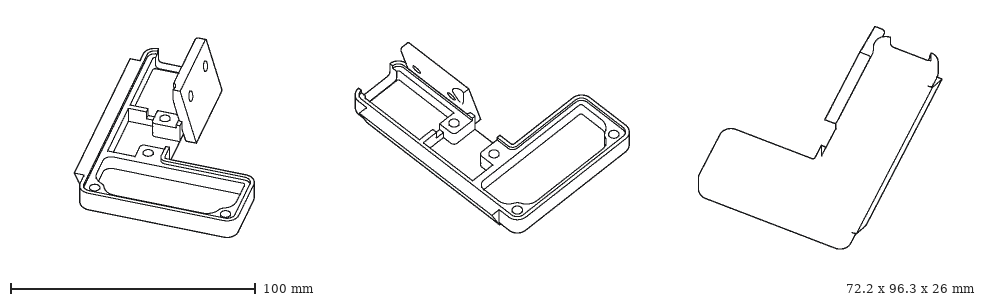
import cadquery as cq
import math

OVERALL_WIDTH = 72.2
RAIL_OVERHANG = 4.2
BODY_WIDTH = OVERALL_WIDTH - RAIL_OVERHANG
BODY_LENGTH = 96.3
BODY_HEIGHT = 10.0
LONG_ARM_WIDTH = 28.0
SHORT_ARM_LENGTH = 30.5
OUTER_RADIUS = 5.0
INNER_RADIUS = 1.0
BOTTOM_FILLET = 2.0

LIP_WIDTH = 1.6
LIP_HEIGHT = 1.5
LEDGE_Z = BODY_HEIGHT - LIP_HEIGHT

WALL = 4.0
UPPER_FLOOR_Z = 2.5
MIDDLE_FLOOR_Z = 1.5
LOWER_FLOOR_Z = 2.3
SMALL_RADIUS = 1.0
BOSS_RADIUS = 1.7
UPPER_POCKET_START = 60.4
RIB_WIDTH = 2.2
RIB_NOTCH_START = 11.75
RIB_NOTCH_FLOOR_Z = 4.8
MIDDLE_POCKET_START = 29.8
BOSS_LEFT = 15.8
OPENING_START = 37.8
OPENING_END = 52.1
LOWER_POCKET_START = 3.8
LOWER_POCKET_END = 26.8
LOWER_POCKET_LEFT_RADIUS = 3.5
LOWER_POCKET_RIGHT_RADIUS = 1.0

SCREW_DIAMETER = 4.2
SCREW_DEPTH = 6.7
SCREW_INSET = 6.0
BOSS_SCREW_X = 20.2
BOSS_SCREW_YS = (33.5, 56.5)
CORNER_SCREW_XS = (SCREW_INSET, BODY_WIDTH - SCREW_INSET)
CORNER_BOSS_RADIUS = 3.9
CORNER_BOSS_BLEND = 6.0

END_SLOT_WIDTH = 18.1
END_SLOT_FLOOR_Z = 2.9
END_SLOT_FILLET = 1.6

RAIL_FOOT_X = 0.2
RAIL_START = 10.5
RAIL_END = 86.8

PLATE_LEAN = math.radians(15)
PLATE_THICKNESS = 4.8
PLATE_FOOT_X = 34.2
PLATE_LEVEL_THICKNESS = PLATE_THICKNESS / math.cos(PLATE_LEAN)
PLATE_TOP_Z = 26.0
PLATE_START = 54.9
PLATE_END = 90.1
PLATE_TOP_FILLET = 1.5
PLATE_SIDE_FILLET = 1.0
PLATE_HOLE_DIAMETER = 4.2
PLATE_HOLE_SPACING = 20.0
PLATE_HOLE_Z = 17.2
SCREW_ACCESS_RADIUS = 4.2


def block(x_range, y_range, z_range):
    """Box spanning the given ranges."""
    sizes = [end - start for start, end in (x_range, y_range, z_range)]
    corner = (x_range[0], y_range[0], z_range[0])
    return cq.Workplane("XY").box(*sizes, centered=False).translate(corner)


def rod(x, y, radius, bottom, top):
    """Upright cylinder."""
    return cq.Workplane("XY", origin=(x, y, bottom)).circle(radius).extrude(top - bottom)


def l_prism(inset, bottom, top):
    """L-shaped prism with its side faces moved inward by the inset."""
    arm_right = LONG_ARM_WIDTH - inset
    arm_back = SHORT_ARM_LENGTH - inset
    z_range = (bottom, top)
    long_arm = block((inset, arm_right), (inset, BODY_LENGTH - inset), z_range)
    short_arm = block((inset, BODY_WIDTH - inset), (inset, arm_back), z_range)
    outer_radius = OUTER_RADIUS - inset
    prism = long_arm.edges("|Z").fillet(outer_radius).union(short_arm.edges("|Z").fillet(outer_radius))
    inner_corner = cq.selectors.NearestToPointSelector((arm_right, arm_back, (bottom + top) / 2))
    return prism.edges(inner_corner).fillet(INNER_RADIUS + inset)


def upright_edges_near(solid, x, y, reach):
    """Vertical edges within a square reach of a point."""
    corner = cq.selectors.BoxSelector(
        (x - reach, y - reach, 0), (x + reach, y + reach, BODY_HEIGHT)
    )
    return solid.edges("|Z").edges(corner)


def tray():
    """L-shaped block with a rounded underside and a recess for a lid."""
    blank = l_prism(0, 0, BODY_HEIGHT).faces("<Z").edges().fillet(BOTTOM_FILLET)
    return blank.cut(l_prism(LIP_WIDTH, LEDGE_Z, BODY_HEIGHT))


def rail():
    """Wedge rail that narrows toward the floor."""
    root_x = OUTER_RADIUS
    profile = [
        (-RAIL_OVERHANG, BODY_HEIGHT),
        (LIP_WIDTH, BODY_HEIGHT),
        (LIP_WIDTH, LEDGE_Z),
        (root_x, LEDGE_Z),
        (root_x, 0),
        (RAIL_FOOT_X, 0),
    ]
    return (
        cq.Workplane("XZ", origin=(0, RAIL_START, 0))
        .polyline(profile)
        .close()
        .extrude(RAIL_START - RAIL_END)
    )


def upper_pocket():
    """Pocket at the far end of the long arm."""
    return (
        block(
            (WALL, LONG_ARM_WIDTH - WALL),
            (UPPER_POCKET_START, BODY_LENGTH - WALL),
            (UPPER_FLOOR_Z, BODY_HEIGHT),
        )
        .edges("|Z and >Y")
        .fillet(SMALL_RADIUS)
    )


def end_slot():
    """Slot through the far end wall, rounded along its floor."""
    center = LONG_ARM_WIDTH / 2
    return (
        block(
            (center - END_SLOT_WIDTH / 2, center + END_SLOT_WIDTH / 2),
            (BODY_LENGTH - WALL, BODY_LENGTH),
            (END_SLOT_FLOOR_Z, BODY_HEIGHT),
        )
        .edges("|Y and <Z")
        .fillet(END_SLOT_FILLET)
    )


def middle_pocket():
    """Pocket between the two bosses, open on the inner side, with the rib notch."""
    z_range = (MIDDLE_FLOOR_Z, BODY_HEIGHT)
    rib_start = UPPER_POCKET_START - RIB_WIDTH
    bay = block((WALL, BOSS_LEFT), (MIDDLE_POCKET_START, rib_start), z_range)
    opening = block((WALL, LONG_ARM_WIDTH), (OPENING_START, OPENING_END), z_range)
    pocket = bay.union(opening)
    for boss_y in (OPENING_START, OPENING_END):
        pocket = upright_edges_near(pocket, BOSS_LEFT, boss_y, BOSS_RADIUS).fillet(BOSS_RADIUS)
    notch = block(
        (RIB_NOTCH_START, BOSS_LEFT),
        (rib_start, UPPER_POCKET_START),
        (RIB_NOTCH_FLOOR_Z, BODY_HEIGHT),
    )
    return pocket.union(notch)


def lower_pocket():
    """Pocket in the short arm that curves around the corner screw bosses."""
    right = BODY_WIDTH - WALL
    y_range = (LOWER_POCKET_START, LOWER_POCKET_END)
    pocket = block((WALL, right), y_range, (LOWER_FLOOR_Z, BODY_HEIGHT))
    pocket = pocket.edges("|Z and >Y and <X").fillet(LOWER_POCKET_LEFT_RADIUS)
    pocket = pocket.edges("|Z and >Y").edges(">X").fillet(LOWER_POCKET_RIGHT_RADIUS)
    for x in CORNER_SCREW_XS:
        pocket = pocket.cut(rod(x, SCREW_INSET, CORNER_BOSS_RADIUS, 0, BODY_HEIGHT))
    for x in CORNER_SCREW_XS:
        boss_edges = upright_edges_near(pocket, x, SCREW_INSET, CORNER_BOSS_RADIUS)
        pocket = boss_edges.fillet(CORNER_BOSS_BLEND)
    return pocket


def screw_holes():
    """Blind holes in the corner bosses and the two inner bosses."""
    places = [(x, SCREW_INSET) for x in CORNER_SCREW_XS]
    places += [(BOSS_SCREW_X, y) for y in BOSS_SCREW_YS]
    return (
        cq.Workplane("XY", origin=(0, 0, LEDGE_Z - SCREW_DEPTH))
        .pushPoints(places)
        .circle(SCREW_DIAMETER / 2)
        .extrude(SCREW_DEPTH)
    )


def plate_outer_x(z):
    """X of the plate's outer face at a given height."""
    return PLATE_FOOT_X - z * math.tan(PLATE_LEAN)


def round_plate_sides(plate):
    """Round the two side edges of the plate's inner face."""
    half_height = PLATE_TOP_Z / 2
    x = plate_outer_x(half_height) - PLATE_LEVEL_THICKNESS
    for y in (PLATE_START, PLATE_END):
        side_edge = cq.selectors.NearestToPointSelector((x, y, half_height))
        plate = plate.edges(side_edge).fillet(PLATE_SIDE_FILLET)
    return plate


def leaning_plate():
    """Plate that leans over the long arm, with two holes and a screwdriver clearance."""
    top_x = plate_outer_x(PLATE_TOP_Z)
    plate = (
        cq.Workplane("XZ", origin=(0, PLATE_START, 0))
        .polyline([
            (PLATE_FOOT_X - PLATE_LEVEL_THICKNESS, 0),
            (PLATE_FOOT_X, 0),
            (top_x, PLATE_TOP_Z),
            (top_x - PLATE_LEVEL_THICKNESS, PLATE_TOP_Z),
        ])
        .close()
        .extrude(PLATE_START - PLATE_END)
    )
    plate = plate.edges("|Y and >Z").edges("<X").fillet(PLATE_TOP_FILLET)
    middle_y = (PLATE_START + PLATE_END) / 2
    hole_x = plate_outer_x(PLATE_HOLE_Z) - PLATE_LEVEL_THICKNESS / 2
    middle_plane = cq.Plane(
        origin=(hole_x, middle_y, PLATE_HOLE_Z),
        xDir=(0, 1, 0),
        normal=(math.cos(PLATE_LEAN), 0, math.sin(PLATE_LEAN)),
    )
    holes = (
        cq.Workplane(middle_plane)
        .rarray(PLATE_HOLE_SPACING, 1, 2, 1)
        .circle(PLATE_HOLE_DIAMETER / 2)
        .extrude(PLATE_THICKNESS, both=True)
    )
    access = rod(BOSS_SCREW_X, max(BOSS_SCREW_YS), SCREW_ACCESS_RADIUS, LEDGE_Z, PLATE_TOP_Z)
    return round_plate_sides(plate.cut(access)).cut(holes)


body = tray().union(rail())
for hollow in (upper_pocket(), end_slot(), middle_pocket(), lower_pocket(), screw_holes()):
    body = body.cut(hollow)
result = body.union(leaning_plate())